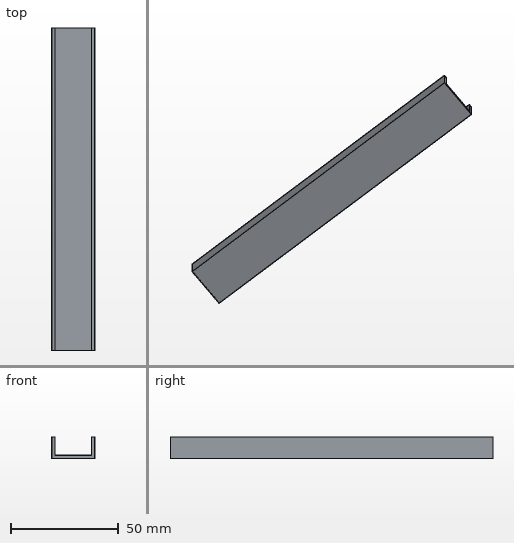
import cadquery as cq

width = 20.1
length = 150.0
height = 10.1

thickness = 1.6


def channel_bar():
    """Solid bar enclosing the channel, centred in X and Y, base at Z = 0."""
    return cq.Workplane("XY").box(width, length, height, centered=(True, True, False))


def channel_groove():
    """Full-length groove between the walls, open at the top and both ends."""
    groove_width = width - 2 * thickness
    groove_depth = height - thickness
    return (
        cq.Workplane("XY")
        .workplane(offset=thickness)
        .box(groove_width, length, groove_depth, centered=(True, True, False))
    )


result = channel_bar().cut(channel_groove())